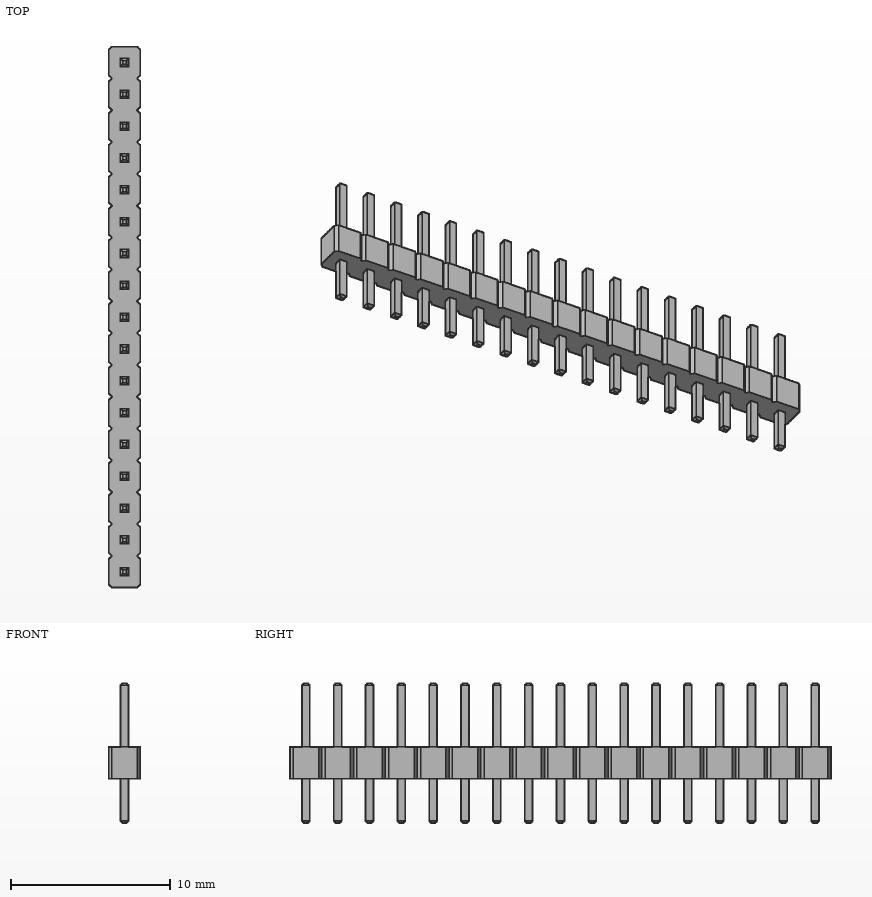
import cadquery as cq

strip_length = 34.0
pin_count = 17
pitch = strip_length / pin_count
block_size = pitch
block_chamfer = 0.2

pin_width = 0.5
pin_above = 4.0
pin_below = 2.8
tip_chamfer = 0.15

pin_length = pin_below + block_size + pin_above
pin_positions = [(0, (i - (pin_count - 1) / 2) * pitch) for i in range(pin_count)]


def make_block():
    """Insulator cube standing on Z = 0 with chamfered vertical edges."""
    block = cq.Workplane("XY").box(block_size, pitch, block_size, centered=(True, True, False))
    return block.edges("|Z").chamfer(block_chamfer)


def make_pin():
    """Square pin passing through the block, chamfered around both tips."""
    pin = cq.Workplane("XY").box(pin_width, pin_width, pin_length, centered=(True, True, False))
    return pin.faces("<Z or >Z").edges().chamfer(tip_chamfer).translate((0, 0, -pin_below))


def repeat_along_strip(unit):
    """Copy a one-piece unit to every pin position and join the copies."""
    shape = unit.val()
    positions = cq.Workplane("XY").pushPoints(pin_positions)
    return positions.eachpoint(lambda place: shape.moved(place)).combine()


insulator = repeat_along_strip(make_block())
pins = repeat_along_strip(make_pin())

result = insulator.union(pins)